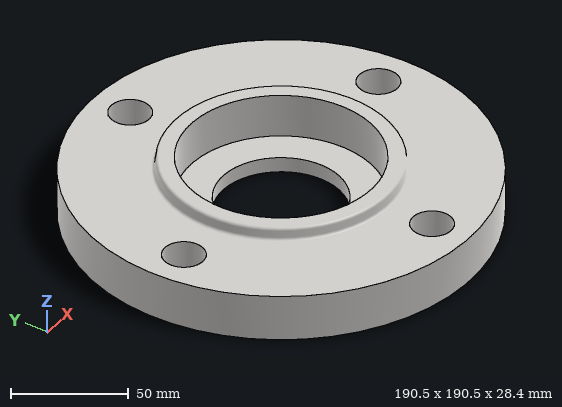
import cadquery as cq
import math

flange_diameter = 190.5
flange_thickness = 22.5
total_height = 28.4

hub_base_radius = 53.9
hub_draft_angle = 7.0
hub_fillet_radius = 1.5

bore_diameter = 58.5
socket_diameter = 90.7
socket_depth = 21.0

bolt_hole_count = 4
bolt_hole_diameter = 19.0
bolt_circle_diameter = 152.4

hub_height = total_height - flange_thickness
hub_top_radius = hub_base_radius - hub_height * math.tan(math.radians(hub_draft_angle))


def make_body():
    """Disc and tapered hub, revolved about Z, with rounded hub edges."""
    flange_radius = flange_diameter / 2
    profile = (
        cq.Workplane("XZ")
        .moveTo(0, 0)
        .lineTo(flange_radius, 0)
        .lineTo(flange_radius, flange_thickness)
        .lineTo(hub_base_radius, flange_thickness)
        .lineTo(hub_top_radius, total_height)
        .lineTo(0, total_height)
        .close()
    )
    body = profile.revolve(360, (0, 0, 0), (0, 1, 0))
    hub_rim = cq.selectors.RadiusNthSelector(0)
    hub_foot = cq.selectors.RadiusNthSelector(1)
    return body.edges(hub_rim + hub_foot).fillet(hub_fillet_radius)


def cut_stepped_bore(body):
    """Through bore with a wider pipe socket sunk from the hub face."""
    return (
        body.faces(">Z")
        .workplane(origin=(0, 0, total_height))
        .cboreHole(bore_diameter, socket_diameter, socket_depth)
    )


def cut_bolt_holes(body):
    """Plain through holes evenly spaced on the bolt circle, the first on +X."""
    holes = (
        cq.Workplane("XY")
        .polarArray(bolt_circle_diameter / 2, 0, 360, bolt_hole_count)
        .circle(bolt_hole_diameter / 2)
        .extrude(flange_thickness)
    )
    return body.cut(holes)


result = cut_bolt_holes(cut_stepped_bore(make_body()))